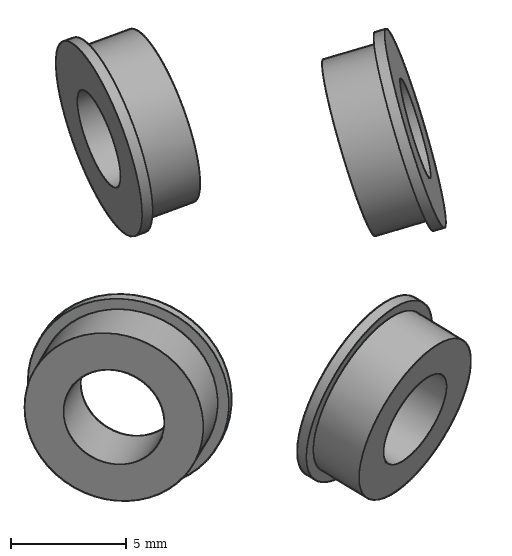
import cadquery as cq

flange_diameter = 9.0
body_diameter = 8.0
bore_diameter = flange_diameter / 2
total_length = 3.0
flange_thickness = 0.5

front_face_y = -total_length / 2
front_plane = cq.Workplane("XZ", origin=(0, front_face_y, 0))


def cylinder_from_front(diameter, length):
    """Cylinder on the part axis, running from the front face toward +Y."""
    return front_plane.circle(diameter / 2).extrude(-length)


flange = cylinder_from_front(flange_diameter, flange_thickness)
body = cylinder_from_front(body_diameter, total_length)
bore = cylinder_from_front(bore_diameter, total_length)

result = flange.union(body).cut(bore)